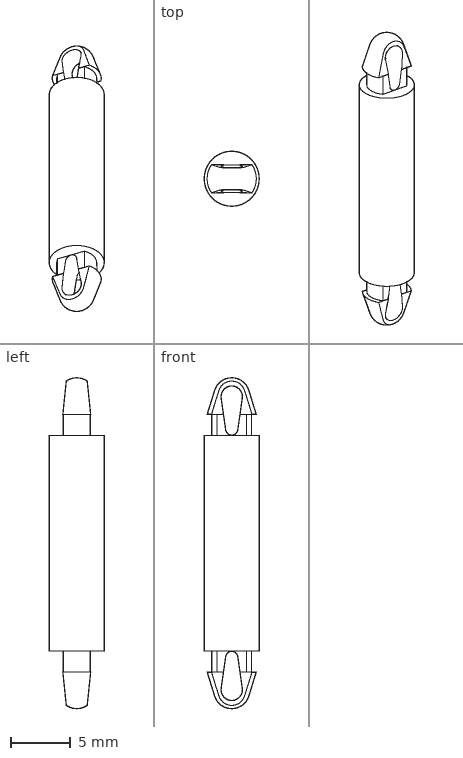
import cadquery as cq
import math

body_diameter = 4.6
body_length = 18.0

head_height = 4.8
neck_radius = 1.67
barb_radius = 2.05
barb_height = 1.75
dome_radius = 1.5

neck_half_thickness = 1.14
barb_half_thickness = 1.17
tip_half_thickness = 0.85

slot_top_height = 4.1
slot_top_radius = 0.88
slot_bottom_height = 0.02
slot_bottom_radius = 0.5


def revolved_head():
    """Neck, barbed cone and a dome tangent to the cone, as a solid of revolution."""
    dome_center = head_height - dome_radius
    drop = dome_center - barb_height
    tangent_angle = math.acos(dome_radius / math.hypot(barb_radius, drop)) - math.atan2(drop, barb_radius)
    middle_angle = (tangent_angle + math.pi / 2) / 2

    def dome_point(angle):
        return (dome_radius * math.cos(angle), dome_center + dome_radius * math.sin(angle))

    return (
        cq.Workplane("XZ")
        .lineTo(neck_radius, 0)
        .lineTo(neck_radius, barb_height)
        .lineTo(barb_radius, barb_height)
        .lineTo(*dome_point(tangent_angle))
        .threePointArc(dome_point(middle_angle), (0, head_height))
        .close()
        .revolve(360, (0, 0), (0, 1))
    )


def flat_sided_envelope():
    """Prism along X whose tapered outline sets the thickness of the head."""
    return (
        cq.Workplane("YZ")
        .polyline([
            (-neck_half_thickness, 0),
            (neck_half_thickness, 0),
            (neck_half_thickness, barb_height),
            (barb_half_thickness, barb_height),
            (tip_half_thickness, head_height),
            (-tip_half_thickness, head_height),
            (-barb_half_thickness, barb_height),
            (-neck_half_thickness, barb_height),
        ])
        .close()
        .extrude(barb_radius, both=True)
    )


def teardrop_slot():
    """Slot along Y bounded by two arcs and the straight lines tangent to both."""
    top_center = slot_top_height - slot_top_radius
    bottom_center = slot_bottom_height + slot_bottom_radius
    tangent_angle = math.asin((slot_top_radius - slot_bottom_radius) / (top_center - bottom_center))
    across = math.cos(tangent_angle)
    along = -math.sin(tangent_angle)
    top_x = slot_top_radius * across
    top_z = top_center + slot_top_radius * along
    bottom_x = slot_bottom_radius * across
    bottom_z = bottom_center + slot_bottom_radius * along
    return (
        cq.Workplane("XZ")
        .moveTo(bottom_x, bottom_z)
        .lineTo(top_x, top_z)
        .threePointArc((0, slot_top_height), (-top_x, top_z))
        .lineTo(-bottom_x, bottom_z)
        .threePointArc((0, slot_bottom_height), (bottom_x, bottom_z))
        .close()
        .extrude(body_diameter / 2, both=True)
    )


def snap_head():
    return revolved_head().intersect(flat_sided_envelope()).cut(teardrop_slot())


body = (
    cq.Workplane("XY", origin=(0, 0, -body_length / 2))
    .circle(body_diameter / 2)
    .extrude(body_length)
)
upper_head = snap_head().translate((0, 0, body_length / 2))
lower_head = upper_head.mirror("XY")

result = body.union(upper_head).union(lower_head)